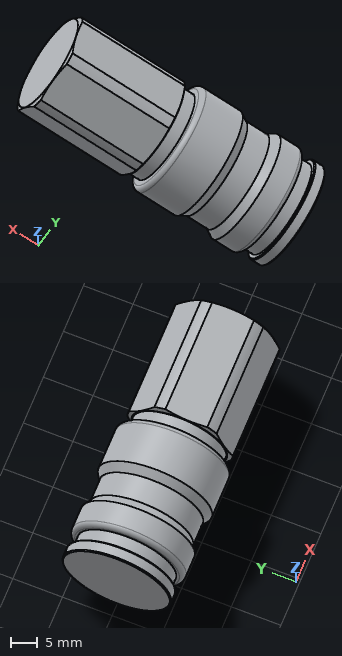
import cadquery as cq
import math

LENGTH = 55.5

COLLAR_DIAMETER = 22.0
COLLAR_WIDTH = 2.45
COLLAR_CHAMFER = 0.2
GROOVE_DIAMETER = 20.0
NECK_DIAMETER = 18.9
HEX_SIDES = 6
HEX_START = 31.4
HEX_ACROSS_FLATS = 19.55
HEX_CORNER_DIAMETER = 21.3
HEX_END_DIAMETER = 19.35
HEX_CHAMFER_ANGLE = 20.0
HEX_TURN = 7.5

SLEEVE_START = 5.2
SLEEVE_END = 28.7
SLEEVE_DIAMETER = 23.15
SLEEVE_END_FILLET = 1.0
WAIST_DIAMETER = 21.0
WAIST_START = 12.45
WAIST_END = 17.4
WAIST_SLOPE_LENGTH = 1.85


def cylinder(start, end, diameter):
    """Solid cylinder on the X axis between two X positions."""
    return cq.Workplane("YZ", origin=(start, 0, 0)).circle(diameter / 2).extrude(end - start)


def revolve_profile(points):
    """Solid of revolution about X from (x, radius) points."""
    return cq.Workplane("XY").polyline(points).close().revolve(360, (0, 0, 0), (1, 0, 0))


def make_hexagon():
    """Hexagonal grip with turned corners and a conical chamfer on each end."""
    prism_diameter = HEX_ACROSS_FLATS / math.cos(math.pi / HEX_SIDES)
    prism = (
        cq.Workplane("YZ", origin=(HEX_START, 0, 0))
        .polygon(HEX_SIDES, prism_diameter)
        .extrude(LENGTH - HEX_START)
        .rotate((0, 0, 0), (1, 0, 0), HEX_TURN)
    )
    corner_radius = HEX_CORNER_DIAMETER / 2
    end_radius = HEX_END_DIAMETER / 2
    chamfer_length = (corner_radius - end_radius) * math.tan(math.radians(HEX_CHAMFER_ANGLE))
    turned_blank = revolve_profile([
        (HEX_START, 0),
        (HEX_START, end_radius),
        (HEX_START + chamfer_length, corner_radius),
        (LENGTH - chamfer_length, corner_radius),
        (LENGTH, end_radius),
        (LENGTH, 0),
    ])
    return prism.intersect(turned_blank)


def make_plug_body():
    """Core with a front collar, a groove, a neck through the sleeve and the hexagon."""
    collar = cylinder(0, COLLAR_WIDTH, COLLAR_DIAMETER).edges().chamfer(COLLAR_CHAMFER)
    groove = cylinder(COLLAR_WIDTH, SLEEVE_START, GROOVE_DIAMETER)
    neck = cylinder(SLEEVE_START, HEX_START, NECK_DIAMETER)
    return collar.union(groove).union(neck).union(make_hexagon())


def make_sleeve():
    """Grip ring with a waist, rounded ends and a bore that fits the neck."""
    outer_radius = SLEEVE_DIAMETER / 2
    waist_radius = WAIST_DIAMETER / 2
    blank = revolve_profile([
        (SLEEVE_START, 0),
        (SLEEVE_START, outer_radius),
        (WAIST_START - WAIST_SLOPE_LENGTH, outer_radius),
        (WAIST_START, waist_radius),
        (WAIST_END, waist_radius),
        (WAIST_END + WAIST_SLOPE_LENGTH, outer_radius),
        (SLEEVE_END, outer_radius),
        (SLEEVE_END, 0),
    ])
    rounded = blank.faces("<X or >X").edges().fillet(SLEEVE_END_FILLET)
    return rounded.cut(cylinder(SLEEVE_START, SLEEVE_END, NECK_DIAMETER))


plug_body = make_plug_body()
sleeve = make_sleeve()

result = cq.Compound.makeCompound([plug_body.val(), sleeve.val()])